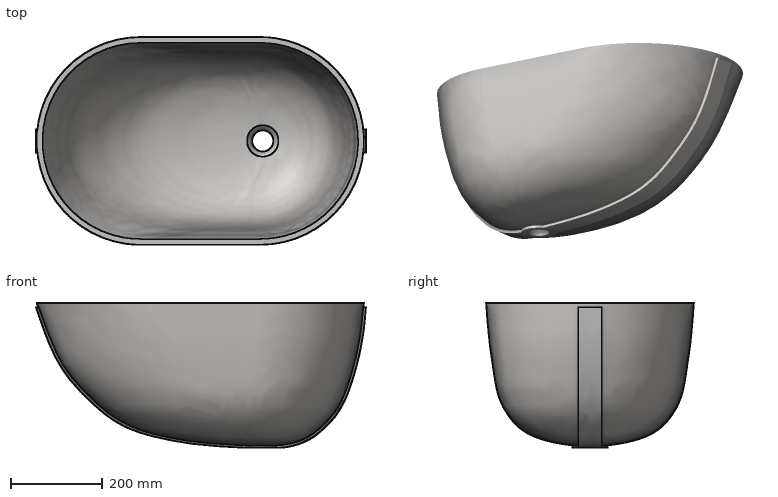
import cadquery as cq
rim_length = 719.0
rim_width = 456.65
rim_wall = 13.0
overall_height = 318.5

strap_width = 51.0
strap_thickness = 4.8
strap_drop = 10.0

drain_x = 137.0
drain_diameter = 46.0
drain_sink_diameter = 69.0
drain_boss_diameter = 77.0

bowl_depth = overall_height - strap_thickness
floor_thickness = 13.0
cavity_depth = bowl_depth - floor_thickness
floor_radius = drain_sink_diameter / 2
floor_half_width = 33.0

floor_taper = 0.7

bowl_sections = [
    (0.0, -rim_length / 2, rim_length / 2, rim_width / 2),
    (60.0, -338.5, 354.0, 223.5),
    (115.0, -315.0, 344.0, 217.0),
    (165.0, -283.0, 330.5, 209.5),
    (205.0, -246.0, 316.0, 200.5),
    (245.0, -200.0, 293.0, 180.5),
    (272.0, -153.0, 268.0, 157.0),
    (290.0, -97.0, 246.0, 130.0),
    (305.0, -15.0, 216.0, 86.0),
    (bowl_depth, drain_x - floor_radius, drain_x + floor_radius, floor_half_width),
]


def grow_section(section, rim_growth, floor_growth):
    """Scale an outer section about the drain axis so that it grows by these amounts at rim and floor."""
    depth, sloping_end, steep_end, half_width = section
    sloping_scale = 1 + rim_growth / (rim_length / 2 + drain_x)
    steep_scale = 1 + rim_growth / (rim_length / 2 - drain_x)
    return (
        depth * (1 + floor_growth / bowl_depth),
        drain_x + (sloping_end - drain_x) * sloping_scale,
        drain_x + (steep_end - drain_x) * steep_scale,
        half_width * (1 + rim_growth / (rim_width / 2)),
    )


def section_wire(section):
    """Outline of a section: round steep end, straight sides, sloping end drawn out with depth."""
    depth, sloping_end, steep_end, half_width = section
    straight_end = steep_end - half_width
    straight_length = straight_end - (sloping_end + half_width)
    sloping_end_length = half_width + straight_length * floor_taper * depth / bowl_depth
    straight_start = sloping_end + sloping_end_length
    return (
        cq.Workplane("XY", origin=(0, 0, -depth))
        .moveTo(straight_start, -half_width)
        .lineTo(straight_end, -half_width)
        .threePointArc((steep_end, 0), (straight_end, half_width))
        .lineTo(straight_start, half_width)
        .ellipseArc(sloping_end_length, half_width, 90, 270)
        .close()
        .val()
    )


def loft_bowl(sections):
    """Smooth solid through a stack of sections, from the floor up to the rim."""
    wires = [section_wire(section) for section in reversed(sections)]
    return cq.Workplane(
        cq.occ_impl.shapes.loft(wires, cap=True, degree=3, continuity="C1", parametrization="chordal")
    )


def make_strap():
    """Slab with the long profile of the bowl, grown by the strap thickness and cut off below the rim."""
    strap_sections = [grow_section(section, strap_thickness, strap_thickness) for section in bowl_sections]
    sloping_side = [(sloping_end, -depth) for depth, sloping_end, _, _ in strap_sections]
    steep_side = [(steep_end, -depth) for depth, _, steep_end, _ in strap_sections]
    slab = (
        cq.Workplane("XZ", origin=(0, strap_width / 2, 0))
        .moveTo(*sloping_side[0])
        .spline(sloping_side[1:], includeCurrent=True)
        .lineTo(*steep_side[-1])
        .spline(steep_side[-2::-1], includeCurrent=True)
        .close()
        .extrude(strap_width)
    )
    above_strap_ends = cq.Workplane("XY").rect(2 * rim_length, rim_width).extrude(-strap_drop)
    return slab.cut(above_strap_ends)


def make_drain_boss():
    """Round pad under the floor, level with the underside of the strap."""
    return (
        cq.Workplane("XY", origin=(drain_x, 0, -overall_height))
        .circle(drain_boss_diameter / 2)
        .extrude(overall_height - cavity_depth)
    )


def make_drain_opening():
    """Through hole with a 45 degree countersink starting at the cavity floor."""
    hole_radius = drain_diameter / 2
    sink_radius = drain_sink_diameter / 2
    sink_depth = sink_radius - hole_radius
    return (
        cq.Workplane("XZ", origin=(drain_x, 0, 0))
        .moveTo(0, 0)
        .lineTo(sink_radius, 0)
        .lineTo(sink_radius, -cavity_depth)
        .lineTo(hole_radius, -cavity_depth - sink_depth)
        .lineTo(hole_radius, -overall_height)
        .lineTo(0, -overall_height)
        .close()
        .revolve(360, (0, 0, 0), (0, 1, 0))
    )


outer_bowl = loft_bowl(bowl_sections)
cavity = loft_bowl([grow_section(section, -rim_wall, -floor_thickness) for section in bowl_sections])

result = (
    outer_bowl.union(make_strap())
    .union(make_drain_boss())
    .cut(cavity)
    .cut(make_drain_opening())
)